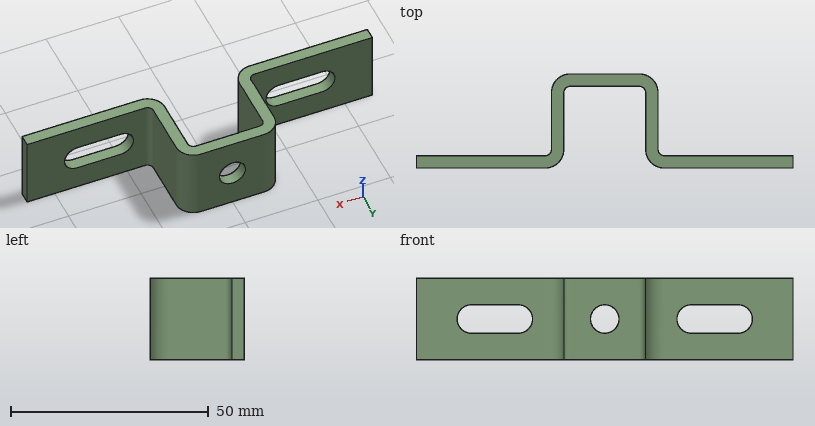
import cadquery as cq

length = 95.25
depth = 23.86
strip_width = 20.64
thickness = 3.175

channel_width = 20.64
inner_radius = thickness / 2
outer_radius = inner_radius + thickness

hole_diameter = 7.14
slot_length = 19.0
slot_width = hole_diameter
slot_spacing = 55.56

half_channel = channel_width / 2
half_hat = half_channel + thickness


def block(width, block_depth):
    """Block as tall as the strip, centred on X and Z, starting at Y = 0."""
    return cq.Workplane("XY").box(width, block_depth, strip_width, centered=(True, False, True))


def round_edge_near(body, x, y, radius):
    """Fillet the upright edge that passes through (x, y)."""
    return body.edges(cq.selectors.NearestToPointSelector((x, y, 0))).fillet(radius)


def hat_strip():
    """Strip bent into a hat: two flanges at Y = 0 joined by a raised channel."""
    flanges = block(length, thickness)
    hat = block(2 * half_hat, depth).edges("|Z and >Y").fillet(outer_radius)
    channel = block(channel_width, depth - thickness).edges("|Z and >Y").fillet(inner_radius)
    strip = flanges.union(hat).cut(channel)

    for side in (-1, 1):
        strip = round_edge_near(strip, side * half_hat, thickness, inner_radius)
        strip = round_edge_near(strip, side * half_channel, 0, outer_radius)
    return strip


def openings():
    """Cutters along Y: a round hole in the crown and a slot in each flange."""
    front_face = cq.Workplane("XZ")
    hole = front_face.circle(hole_diameter / 2).extrude(-depth)
    slots = (
        front_face.pushPoints([(-slot_spacing / 2, 0), (slot_spacing / 2, 0)])
        .slot2D(slot_length, slot_width)
        .extrude(-depth)
    )
    return hole.union(slots)


result = hat_strip().cut(openings())